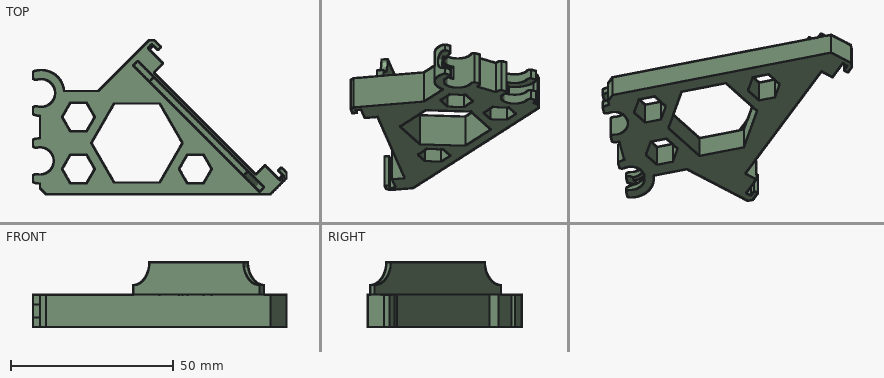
import cadquery as cq
import math

plate_thickness = 10.0
shoulder_y = 31.85
corner_chamfer = 1.9

edge_centre = (50.6, 22.05)
half_width = 30.0
hook_shift = 0.33
pad_inner = 22.17
pad_height = 4.0
slot_outer = 28.17
slot_height = 1.7
hook_thickness = 1.4
hook_tip = 26.17
hook_chamfer = 1.14
lead_in_width = 0.65
lead_in_depth = 0.65
slot_top = pad_height + slot_height
hook_top = slot_top + hook_thickness

wall_length = 55.0
wall_thickness = 2.0
wall_height = 10.0
wall_setback = 1.0
wall_shift = -0.4
wall_scoop_radius = 7.0

large_hex_centre = (29.9, 15.8)
large_hex_diameter = 28.0
small_hex_diameter = 10.0
small_hex_dx = 18.0
small_hex_dy = 8.0

clip_end_x = -2.16
lower_clip_centre = (0.1, 10.28)
lower_clip_outer = 7.0
lower_clip_inner = 4.15
upper_clip_centre = (0.45, 31.2)
upper_clip_outer = 7.1
upper_clip_inner = 4.25
tip_centre_x = -1.1

groove_height = 4.0
groove_z = (plate_thickness - groove_height) / 2
upper_groove_radius = 5.5
arm_notch_radius = 3.0
lower_groove_end_y = 10.1
upper_groove_end_y = 30.05


def edge_plane(z):
    """Horizontal plane on the mounting edge: local x is u, local y is v."""
    return cq.Plane(origin=(*edge_centre, z), xDir=(1, -1, 0), normal=(0, 0, 1))


def edge_point(u, v):
    """Plate XY position of a point given along and out from the mounting edge."""
    return (
        edge_centre[0] + (u + v) / math.sqrt(2),
        edge_centre[1] + (v - u) / math.sqrt(2),
    )


def hook_outline(side):
    """Plate XY corners of the pad and hook at side * u, from the mounting edge outward."""
    pad_u, slot_u, tip_u = [hook_shift + side * size for size in (pad_inner, slot_outer, hook_tip)]
    corners = [
        (pad_u, 0),
        (pad_u, pad_height),
        (slot_u, pad_height),
        (slot_u, slot_top),
        (tip_u, slot_top),
        (tip_u, hook_top),
        (side * (half_width - hook_chamfer), hook_top),
        (side * half_width, hook_top - hook_chamfer),
    ]
    return [edge_point(u, v) for u, v in corners]


def make_plate():
    side_x, side_y = edge_point(half_width, 0)
    lower_right = (side_x - side_y, 0)
    side_x, side_y = edge_point(-half_width, 0)
    shoulder = (side_x - side_y + shoulder_y, shoulder_y)
    outline = [
        (0, corner_chamfer),
        (corner_chamfer, 0),
        lower_right,
        *reversed(hook_outline(1)),
        *hook_outline(-1),
        shoulder,
        (0, shoulder_y),
    ]
    return cq.Workplane("XY").polyline(outline).close().extrude(plate_thickness)


def make_lead_in(side):
    """Wedge that slopes the closed side of the slot at side * u, at the top face."""
    plane = cq.Plane(
        origin=(*edge_point(hook_shift, pad_height), 0), xDir=(1, -1, 0), normal=(-1, -1, 0)
    )
    profile = [
        (side * slot_outer, plate_thickness),
        (side * (slot_outer + lead_in_width), plate_thickness),
        (side * slot_outer, plate_thickness - lead_in_depth),
    ]
    return cq.Workplane(plane).polyline(profile).close().extrude(-slot_height)


def make_wall():
    wall = (
        cq.Workplane(edge_plane(plate_thickness))
        .center(wall_shift, -wall_setback - wall_thickness / 2)
        .rect(wall_length, wall_thickness)
        .extrude(wall_height)
    )
    top_z = plate_thickness + wall_height
    scoop_plane = cq.Plane(
        origin=(*edge_point(wall_shift, 0), top_z), xDir=(1, -1, 0), normal=(-1, -1, 0)
    )
    scoops = (
        cq.Workplane(scoop_plane)
        .pushPoints([(-wall_length / 2, 0), (wall_length / 2, 0)])
        .circle(wall_scoop_radius)
        .extrude(wall_setback + wall_thickness)
    )
    return wall.cut(scoops)


def make_hexagons():
    x, y = large_hex_centre
    small_centres = [
        (x - small_hex_dx, y - small_hex_dy),
        (x - small_hex_dx, y + small_hex_dy),
        (x + small_hex_dx, y - small_hex_dy),
    ]
    large = (
        cq.Workplane("XY")
        .pushPoints([large_hex_centre])
        .polygon(6, large_hex_diameter)
        .extrude(plate_thickness)
    )
    small = (
        cq.Workplane("XY")
        .pushPoints(small_centres)
        .polygon(6, small_hex_diameter)
        .extrude(plate_thickness)
    )
    return large.union(small)


def disc(centre, radius, height=plate_thickness, z=0.0):
    return cq.Workplane("XY").workplane(offset=z).pushPoints([centre]).circle(radius).extrude(height)


def block(x_range, y_range, z_range):
    """Box between the given X, Y and Z limits."""
    size = [high - low for low, high in (x_range, y_range, z_range)]
    corner = (x_range[0], y_range[0], z_range[0])
    return cq.Workplane("XY").box(*size, centered=False).translate(corner)


def make_clip(centre, outer, inner):
    """C-shaped ring open toward -X with round arm ends cut flat at clip_end_x."""
    x, y = centre
    middle_radius = (outer + inner) / 2
    tip_dx = tip_centre_x - x
    tip_dy = math.sqrt(middle_radius**2 - tip_dx**2)
    reach = 2 * outer / middle_radius
    mouth = (
        cq.Workplane("XY")
        .moveTo(x, y)
        .lineTo(x + reach * tip_dx, y + reach * tip_dy)
        .lineTo(x - 2 * outer, y + reach * tip_dy)
        .lineTo(x - 2 * outer, y - reach * tip_dy)
        .lineTo(x + reach * tip_dx, y - reach * tip_dy)
        .close()
        .extrude(plate_thickness)
    )
    ring = disc(centre, outer).cut(disc(centre, inner)).cut(mouth)
    for side in (-1, 1):
        tip = disc((tip_centre_x, y + side * tip_dy), (outer - inner) / 2)
        ring = ring.union(tip)
    keep = block((clip_end_x, x + outer), (y - outer, y + outer), (0, plate_thickness))
    return ring.intersect(keep)


def make_groove(centre, radius, y_range):
    """Flat round groove around a clip centre, limited to a Y range."""
    x = centre[0]
    groove = disc(centre, radius, groove_height, groove_z)
    keep = block((x - radius, x + radius), y_range, (0, plate_thickness))
    return groove.intersect(keep)


def make_arm_notch():
    """Half-round notch across the end of the upper arm of the upper clip."""
    y = upper_clip_centre[1]
    return (
        cq.Workplane("XZ", origin=(clip_end_x, y, plate_thickness / 2))
        .circle(arm_notch_radius)
        .extrude(-upper_clip_outer)
    )


lower_groove = make_groove(
    lower_clip_centre,
    lower_clip_outer,
    (lower_clip_centre[1] - lower_clip_outer, lower_groove_end_y),
)
upper_groove = make_groove(
    upper_clip_centre,
    upper_groove_radius,
    (upper_groove_end_y, upper_clip_centre[1] + upper_groove_radius),
)

result = (
    make_plate()
    .cut(disc(lower_clip_centre, lower_clip_inner))
    .cut(disc(upper_clip_centre, upper_clip_inner))
    .union(make_clip(lower_clip_centre, lower_clip_outer, lower_clip_inner))
    .union(make_clip(upper_clip_centre, upper_clip_outer, upper_clip_inner))
    .cut(make_hexagons())
    .cut(lower_groove)
    .cut(upper_groove)
    .cut(make_arm_notch())
    .cut(make_lead_in(-1))
    .cut(make_lead_in(1))
    .union(make_wall())
)